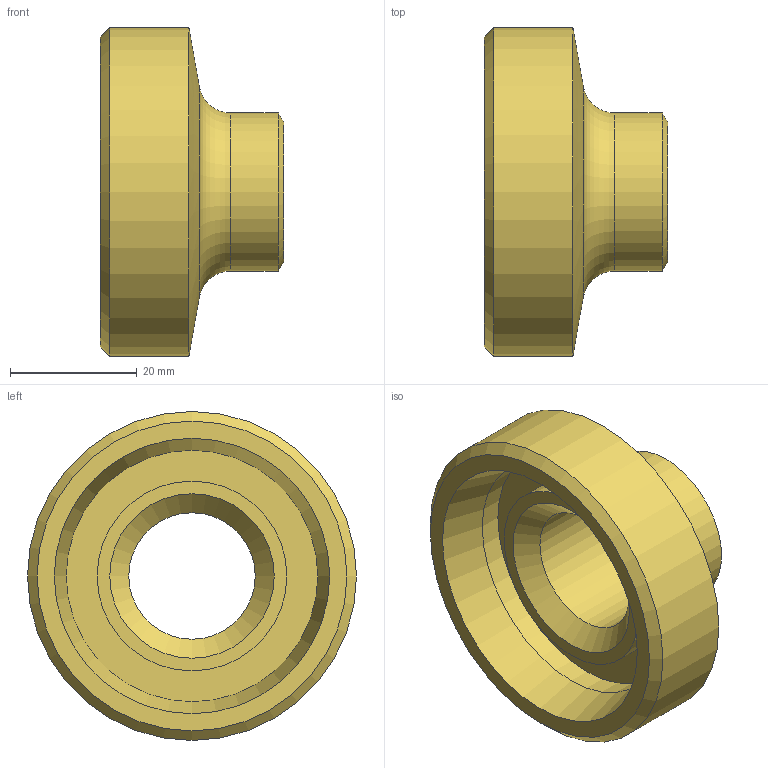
import cadquery as cq
import math


rim_radius = 52.0 / 2
rim_width = 14.0
rim_chamfer = 1.5
back_face_angle = math.radians(10)

overall_length = 29.0
neck_radius = 25.0 / 2
neck_fillet = 5.0
neck_chamfer_height = 1.5
neck_chamfer_length = neck_chamfer_height * math.tan(math.radians(30))

recess_radius = 39.8 / 2
taper_depth = 7.0
taper_angle = math.radians(15)
mouth_radius = recess_radius + taper_depth * math.tan(taper_angle)
floor_depth = 10.5

hub_radius = 30.0 / 2
hub_face_depth = taper_depth
bore_radius = 20.0 / 2
bore_chamfer = 3.0


def revolve_about_x(profile):
    """Turn a closed (x, radius) profile a full circle about the X axis."""
    return profile.close().revolve(360, (0, 0, 0), (1, 0, 0))


def make_body():
    """Solid rim and neck, blended by a fillet tangent to the conical back face."""
    cone_end_radius = neck_radius + neck_fillet * (1 - math.sin(back_face_angle))
    cone_end_x = rim_width + (rim_radius - cone_end_radius) * math.tan(back_face_angle)
    fillet_center_x = cone_end_x + neck_fillet * math.cos(back_face_angle)
    fillet_center_radius = neck_radius + neck_fillet

    mid_angle = (back_face_angle + math.pi / 2) / 2
    fillet_mid = (
        fillet_center_x - neck_fillet * math.cos(mid_angle),
        fillet_center_radius - neck_fillet * math.sin(mid_angle),
    )

    profile = (
        cq.Workplane("XY")
        .moveTo(0, 0)
        .lineTo(0, rim_radius - rim_chamfer)
        .lineTo(rim_chamfer, rim_radius)
        .lineTo(rim_width, rim_radius)
        .lineTo(cone_end_x, cone_end_radius)
        .threePointArc(fillet_mid, (fillet_center_x, neck_radius))
        .lineTo(overall_length - neck_chamfer_length, neck_radius)
        .lineTo(overall_length, neck_radius - neck_chamfer_height)
        .lineTo(overall_length, 0)
    )
    return revolve_about_x(profile)


def make_cavity():
    """Material removed from the inside: recess around the hub, countersink and bore."""
    profile = (
        cq.Workplane("XY")
        .moveTo(0, 0)
        .lineTo(0, mouth_radius)
        .lineTo(taper_depth, recess_radius)
        .lineTo(floor_depth, recess_radius)
        .lineTo(floor_depth, hub_radius)
        .lineTo(hub_face_depth, hub_radius)
        .lineTo(hub_face_depth, bore_radius + bore_chamfer)
        .lineTo(hub_face_depth + bore_chamfer, bore_radius)
        .lineTo(overall_length, bore_radius)
        .lineTo(overall_length, 0)
    )
    return revolve_about_x(profile)


result = make_body().cut(make_cavity())